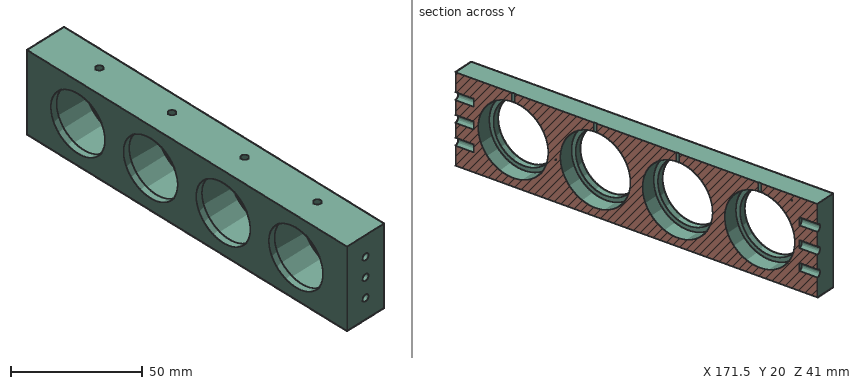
import cadquery as cq

length = 171.5
depth = 20.0
height = 41.0

bore_count = 4
bore_pitch = 39.0
lip_diameter = 29.0
seat_diameter = 33.0
lip_thickness = 3.1

screw_diameter = 3.3
end_hole_count = 3
end_hole_pitch = 10.0
end_hole_depth = 8.5

front_y = -depth / 2
seat_depth = depth - lip_thickness
seat_middle_y = lip_thickness / 2


def centered_positions(count, pitch):
    """Evenly spaced positions, symmetric about zero."""
    return [(i - (count - 1) / 2) * pitch for i in range(count)]


def cylinder(diameter, cylinder_length, start, direction):
    """Cylinder growing from the start point along the direction."""
    return cq.Workplane(cq.Solid.makeCylinder(
        diameter / 2, cylinder_length, cq.Vector(*start), cq.Vector(*direction)))


def stepped_bore(x):
    """Through bore with its wider seat open at the back."""
    lip = cylinder(lip_diameter, depth, (x, front_y, 0), (0, 1, 0))
    seat = cylinder(seat_diameter, seat_depth, (x, front_y + lip_thickness, 0), (0, 1, 0))
    return lip.union(seat)


def top_screw_hole(x):
    """Hole from the top face into the middle of a seat."""
    return cylinder(screw_diameter, height / 2, (x, seat_middle_y, height / 2), (0, 0, -1))


def end_screw_hole(side, z):
    """Blind hole in the end face on the given side (-1 or 1)."""
    return cylinder(screw_diameter, end_hole_depth, (side * length / 2, 0, z), (-side, 0, 0))


result = cq.Workplane("XY").box(length, depth, height)

for bore_x in centered_positions(bore_count, bore_pitch):
    result = result.cut(stepped_bore(bore_x))
    result = result.cut(top_screw_hole(bore_x))

for end_side in (-1, 1):
    for hole_z in centered_positions(end_hole_count, end_hole_pitch):
        result = result.cut(end_screw_hole(end_side, hole_z))